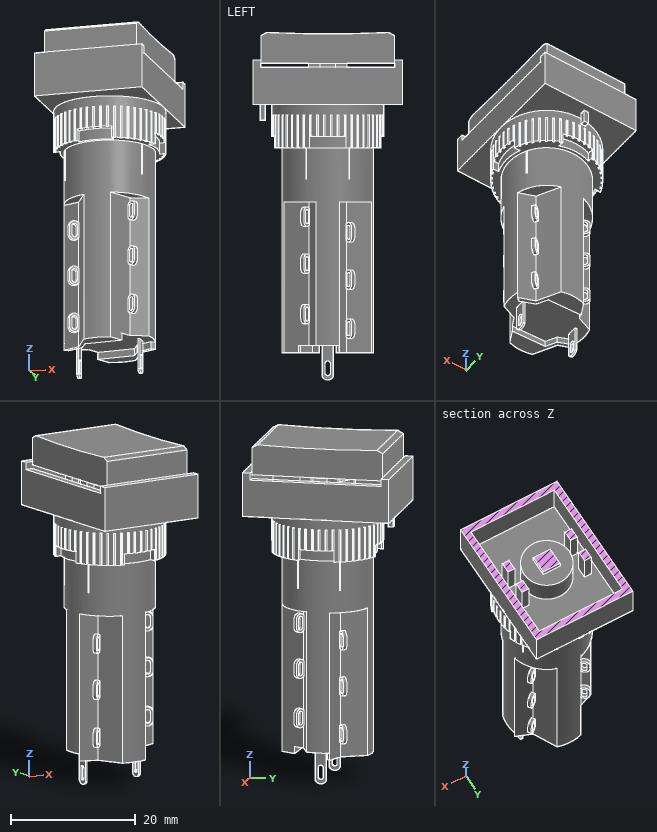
import cadquery as cq
import math


TOTAL_HEIGHT = 55.7
CAVITY_CEILING_Z = 5.5
BARREL_BOTTOM_Z = 4.35
CHANNEL_TOP_Z = 28.5
SLIT_BOTTOM_Z = 32.2
RING_BOTTOM_Z = 37.2
RING_NOTCH_TOP_Z = 39.05
KNURL_TOP_Z = 42.45
BEZEL_BOTTOM_Z = 44.1
BEZEL_FLOOR_Z = 45.0
SIDE_WALL_TOP_Z = 50.1
CAP_BOTTOM_Z = 50.7
BEZEL_TOP_Z = 51.3

BEZEL_X = 18.0
BEZEL_Y = 24.0
BEZEL_WALL = 1.3
POCKET_X = BEZEL_X - 2 * BEZEL_WALL
POCKET_Y = BEZEL_Y - 2 * BEZEL_WALL
CAP_BEVEL_Y = 0.95
CAP_BEVEL_Z = 0.5
CAP_DISH_DEPTH = 0.2

BOSS_DIAMETER = 8.4
BOSS_TOP_Z = 49.3
POST_SIDE = 3.2
PRONG_INNER_X = 5.2
PRONG_OUTER_X = 6.45
PRONG_INNER_Y = 1.3
PRONG_OUTER_Y = 3.1

PEG_SIDE = 0.85
PEG_LENGTH = 2.5
PEG_Y = 10.4

RING_DIAMETER = 18.0
GROOVE_COUNT = 50
GROOVE_WIDTH = 0.3
GROOVE_DEPTH = 0.3
NOTCH_WIDTH = 5.8
NOTCH_FLOOR_RADIUS = 7.95

BARREL_DIAMETER = 14.7
BARREL_RADIUS = BARREL_DIAMETER / 2
SLIT_Y = 3.45
SLIT_WIDTH = 0.1
SLIT_DEPTH = 0.1

CHANNEL_SIDE_EDGE_Y = 1.9
CHANNEL_CORNER = (4.3, 3.0)
CHANNEL_END_EDGE_X = 2.2

CAVITY_WALL_POINTS = ((7.2, CHANNEL_SIDE_EDGE_Y), (6.45, 1.35), (3.85, 2.45), (2.85, 4.35), (-3.4, 4.7))

LOOP_CENTER = (4.9, 3.55)
LOOP_TURN = 36.0
LOOP_THICKNESS = 0.6
LOOP_WIDTH = 1.8
LOOP_HEIGHT = 3.1
LOOP_RIM = 0.45
LOW_LOOP_HEIGHTS = (8.25, 16.1, 23.65)
HIGH_LOOP_HEIGHTS = (10.6, 18.65, 26.15)

BLADE_X = 5.1
BLADE_THICKNESS = 0.35
BLADE_WIDTH = 1.8
BLADE_TIP_HEIGHT = 0.55
BLADE_EYE_WIDTH = 0.85
BLADE_EYE_BOTTOM_Z = 0.7
BLADE_EYE_TOP_Z = 3.05

OVERCUT = 0.55


def box(x_range, y_range, z_range):
    sizes = [high - low for low, high in (x_range, y_range, z_range)]
    corner = (x_range[0], y_range[0], z_range[0])
    return cq.Workplane("XY").box(*sizes, centered=False).translate(corner)


def centered_box(size_x, size_y, bottom, top):
    return box((-size_x / 2, size_x / 2), (-size_y / 2, size_y / 2), (bottom, top))


def cylinder(diameter, bottom, top):
    return cq.Workplane("XY").workplane(offset=bottom).circle(diameter / 2).extrude(top - bottom)


def turned(shape, angle):
    return shape.rotate((0, 0, 0), (0, 0, 1), angle)


def make_bezel():
    bezel = centered_box(BEZEL_X, BEZEL_Y, BEZEL_BOTTOM_Z, BEZEL_TOP_Z)
    bezel = bezel.cut(centered_box(POCKET_X, POCKET_Y, BEZEL_FLOOR_Z, BEZEL_TOP_Z))
    bezel = bezel.cut(centered_box(BEZEL_X, POCKET_Y, SIDE_WALL_TOP_Z, BEZEL_TOP_Z))
    peg = centered_box(PEG_SIDE, PEG_SIDE, BEZEL_BOTTOM_Z - PEG_LENGTH, BEZEL_BOTTOM_Z)
    return bezel.union(peg.translate((0, PEG_Y, 0)))


def make_cap():
    half_y = POCKET_Y / 2
    bevel_z = TOTAL_HEIGHT - CAP_BEVEL_Z
    top_y = half_y - CAP_BEVEL_Y
    profile = (
        cq.Workplane("YZ")
        .moveTo(-half_y, CAP_BOTTOM_Z)
        .lineTo(half_y, CAP_BOTTOM_Z)
        .lineTo(half_y, bevel_z)
        .lineTo(top_y, TOTAL_HEIGHT)
        .threePointArc((0, TOTAL_HEIGHT - CAP_DISH_DEPTH), (-top_y, TOTAL_HEIGHT))
        .lineTo(-half_y, bevel_z)
        .close()
    )
    return profile.extrude(POCKET_X / 2, both=True)


def make_cap_support():
    support = cylinder(BOSS_DIAMETER, BEZEL_FLOOR_Z, BOSS_TOP_Z)
    support = support.union(centered_box(POST_SIDE, POST_SIDE, BOSS_TOP_Z, CAP_BOTTOM_Z))
    prong = box(
        (PRONG_INNER_X, PRONG_OUTER_X),
        (PRONG_INNER_Y, PRONG_OUTER_Y),
        (BEZEL_FLOOR_Z, CAP_BOTTOM_Z),
    )
    prong_pair = prong.union(prong.mirror("XZ"))
    return support.union(prong_pair).union(prong_pair.mirror("YZ"))


def make_ring():
    ring = cylinder(RING_DIAMETER, RING_BOTTOM_Z, BEZEL_BOTTOM_Z)
    radius = RING_DIAMETER / 2
    groove = box(
        (-GROOVE_WIDTH / 2, GROOVE_WIDTH / 2),
        (-radius - OVERCUT, -radius + GROOVE_DEPTH),
        (RING_BOTTOM_Z, KNURL_TOP_Z),
    )
    grooves = cq.Compound.makeCompound(
        [turned(groove, i * 360 / GROOVE_COUNT).val() for i in range(GROOVE_COUNT)]
    )
    ring = ring.cut(cq.Workplane(grooves))

    notch_length = RING_DIAMETER + 2 * OVERCUT
    cross = centered_box(notch_length, NOTCH_WIDTH, RING_BOTTOM_Z, RING_NOTCH_TOP_Z)
    cross = cross.union(turned(cross, 90))
    core = cylinder(2 * NOTCH_FLOOR_RADIUS, RING_BOTTOM_Z, RING_NOTCH_TOP_Z)
    return ring.cut(cross.cut(core))


def make_channel_cutter():
    """Angled channel in the +X +Y quarter of the lower barrel."""
    side_edge = (math.sqrt(BARREL_RADIUS**2 - CHANNEL_SIDE_EDGE_Y**2), CHANNEL_SIDE_EDGE_Y)
    end_edge = (CHANNEL_END_EDGE_X, math.sqrt(BARREL_RADIUS**2 - CHANNEL_END_EDGE_X**2))
    outside = BARREL_RADIUS + OVERCUT
    return (
        cq.Workplane("XY")
        .workplane(offset=BARREL_BOTTOM_Z)
        .polyline(
            [
                CHANNEL_CORNER,
                side_edge,
                (outside, CHANNEL_SIDE_EDGE_Y),
                (outside, outside),
                (CHANNEL_END_EDGE_X, outside),
                end_edge,
            ]
        )
        .close()
        .extrude(CHANNEL_TOP_Z - BARREL_BOTTOM_Z)
    )


def make_bottom_cavity():
    """Shallow cavity in the barrel end, open at the sides and alike after a half turn."""
    outside = BARREL_RADIUS + OVERCUT
    half_outline = [
        (outside, CHANNEL_SIDE_EDGE_Y),
        *CAVITY_WALL_POINTS,
        (-outside, CAVITY_WALL_POINTS[-1][1]),
    ]
    outline = half_outline + [(-x, -y) for x, y in half_outline]
    return (
        cq.Workplane("XY")
        .workplane(offset=BARREL_BOTTOM_Z)
        .polyline(outline)
        .close()
        .extrude(CAVITY_CEILING_Z - BARREL_BOTTOM_Z)
    )


def make_slits():
    """Fine slits on both sides of the barrel, below the ring."""
    slit_z = (SLIT_BOTTOM_Z, RING_BOTTOM_Z)
    surface_x = math.sqrt(BARREL_RADIUS**2 - SLIT_Y**2)
    slit_y = (SLIT_Y - SLIT_WIDTH / 2, SLIT_Y + SLIT_WIDTH / 2)
    slit = box((surface_x - SLIT_DEPTH, BARREL_RADIUS), slit_y, slit_z)
    slit_pair = slit.union(slit.mirror("XZ"))
    return slit_pair.union(slit_pair.mirror("YZ"))


def make_barrel():
    barrel = cylinder(BARREL_DIAMETER, BARREL_BOTTOM_Z, BEZEL_BOTTOM_Z)
    channel = make_channel_cutter()
    channel_pair = channel.union(channel.mirror("XZ"))
    barrel = barrel.cut(channel_pair).cut(channel_pair.mirror("YZ"))
    return barrel.cut(make_bottom_cavity()).cut(make_slits())


def make_loops(heights):
    """Column of flat loops standing on edge in the +X +Y channel."""
    loops = (
        cq.Workplane("XZ")
        .pushPoints([(0, height) for height in heights])
        .slot2D(LOOP_HEIGHT, LOOP_WIDTH, 90)
        .pushPoints([(0, height) for height in heights])
        .slot2D(LOOP_HEIGHT - 2 * LOOP_RIM, LOOP_WIDTH - 2 * LOOP_RIM, 90)
        .extrude(LOOP_THICKNESS / 2, both=True)
    )
    return turned(loops, LOOP_TURN).translate((*LOOP_CENTER, 0))


def make_all_loops():
    low = make_loops(LOW_LOOP_HEIGHTS)
    high = make_loops(HIGH_LOOP_HEIGHTS).mirror("XZ")
    return [low, turned(low, 180), high, turned(high, 180)]


def make_blade():
    """Solder blade with a rounded tip and an eye."""
    half = BLADE_WIDTH / 2
    blade = (
        cq.Workplane("YZ")
        .moveTo(-half, CAVITY_CEILING_Z)
        .lineTo(-half, BLADE_TIP_HEIGHT)
        .threePointArc((0, 0), (half, BLADE_TIP_HEIGHT))
        .lineTo(half, CAVITY_CEILING_Z)
        .close()
        .extrude(BLADE_THICKNESS / 2, both=True)
    )
    eye_height = BLADE_EYE_TOP_Z - BLADE_EYE_BOTTOM_Z
    eye = (
        cq.Workplane("YZ")
        .center(0, (BLADE_EYE_TOP_Z + BLADE_EYE_BOTTOM_Z) / 2)
        .slot2D(eye_height, BLADE_EYE_WIDTH, 90)
        .extrude(BLADE_THICKNESS, both=True)
    )
    return blade.cut(eye)


result = make_bezel().union(make_cap_support()).union(make_cap())
result = result.union(make_ring()).union(make_barrel())
for loops in make_all_loops():
    result = result.union(loops)
for blade_x in (-BLADE_X, BLADE_X):
    result = result.union(make_blade().translate((blade_x, 0, 0)))